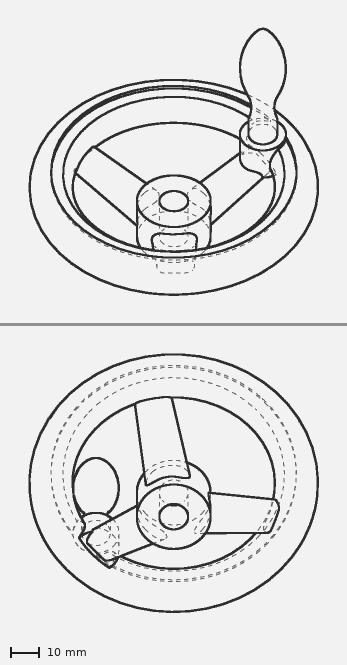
import cadquery as cq
import math

rim_outer_radius = 50.0
rim_section_radius = 7.5
rim_center_radius = rim_outer_radius - rim_section_radius
rim_step_depth = 1.25

hub_radius = 12.8
hub_height = 17.25
bore_radius = 5.0

rim_bottom_z = 16.5
rim_center_z = rim_bottom_z + rim_section_radius
rim_top_z = rim_center_z + rim_section_radius
rim_step_z = rim_top_z - rim_step_depth

spoke_count = 3
spoke_first_angle = 90.0
spoke_slope = 25.5
spoke_taper = 2.7
spoke_start_radius = 7.0
spoke_start_thickness = 7.8
spoke_flat_width = 8.2

boss_radius = 8.0
boss_offset = 36.0
boss_height = 13.25

shank_radius = 5.0
shank_top = 7.0
neck_radius = 4.0
neck_height = 13.0
grip_radius = 8.0
grip_height = 32.0
grip_arc_radius = 28.0
tip_radius = 3.0


def make_rim():
    ring = cq.Workplane("XZ").center(rim_center_radius, rim_center_z).circle(rim_section_radius)
    ring = ring.revolve(360, (-rim_center_radius, 0, 0), (-rim_center_radius, 1, 0))
    step = cq.Workplane("XY").workplane(offset=rim_step_z).circle(rim_center_radius).extrude(rim_step_depth)
    return ring.cut(step)


def make_hub():
    return cq.Workplane("XY").circle(hub_radius).extrude(hub_height)


def make_spoke(angle):
    """Spoke along +X, running up to the center of the rim section, then turned about Z."""
    slope = math.radians(spoke_slope)
    run = rim_center_radius - spoke_start_radius
    start_z = rim_center_z - run * math.tan(slope)
    section = cq.Plane(
        origin=(spoke_start_radius, 0, start_z),
        xDir=(0, 1, 0),
        normal=(math.cos(slope), 0, math.sin(slope)),
    )
    spoke = (
        cq.Workplane(section)
        .slot2D(spoke_flat_width + spoke_start_thickness, spoke_start_thickness)
        .extrude(run / math.cos(slope), taper=spoke_taper)
    )
    return spoke.rotate((0, 0, 0), (0, 0, 1), angle)


def make_boss():
    boss = cq.Workplane("XY", origin=(0, boss_offset, rim_top_z - boss_height))
    return boss.circle(boss_radius).extrude(boss_height)


def make_handle():
    """Turned handle whose upper neck, grip and tip arcs meet tangentially."""
    neck_to_grip = grip_height - neck_height
    swell = grip_radius - neck_radius
    radius_sum = (neck_to_grip**2 + swell**2) / (2 * swell)
    neck_arc_radius = radius_sum - grip_arc_radius
    grip_center = grip_radius - grip_arc_radius

    def grip_point(rise):
        return (grip_center + math.sqrt(grip_arc_radius**2 - rise**2), grip_height + rise)

    def neck_point(height):
        rise = height - neck_height
        return (neck_radius + neck_arc_radius - math.sqrt(neck_arc_radius**2 - rise**2), height)

    center_distance = grip_arc_radius - tip_radius
    tip_rise = math.sqrt(center_distance**2 - grip_center**2)
    tip_center_height = grip_height + tip_rise
    grip_start = grip_point(-neck_to_grip * grip_arc_radius / radius_sum)
    grip_end = grip_point(tip_rise * grip_arc_radius / center_distance)
    half_turn = math.acos(tip_rise / center_distance) / 2
    tip_middle = (
        tip_radius * math.sin(half_turn),
        tip_center_height + tip_radius * math.cos(half_turn),
    )
    apex = (0, tip_center_height + tip_radius)

    profile = (
        cq.Workplane("XZ", origin=(0, boss_offset, rim_top_z))
        .lineTo(shank_radius, 0)
        .lineTo(shank_radius, shank_top)
        .threePointArc(neck_point((shank_top + neck_height) / 2), (neck_radius, neck_height))
        .threePointArc(neck_point((neck_height + grip_start[1]) / 2), grip_start)
        .threePointArc((grip_radius, grip_height), grip_end)
        .threePointArc(tip_middle, apex)
        .close()
    )
    return profile.revolve(360, (0, 0, 0), (0, 1, 0))


def make_wheel():
    wheel = make_rim().union(make_hub())
    for index in range(spoke_count):
        wheel = wheel.union(make_spoke(spoke_first_angle + index * 360.0 / spoke_count))
    wheel = wheel.union(make_boss()).union(make_handle())
    bore = cq.Workplane("XY").circle(bore_radius).extrude(hub_height)
    return wheel.cut(bore)


result = make_wheel()